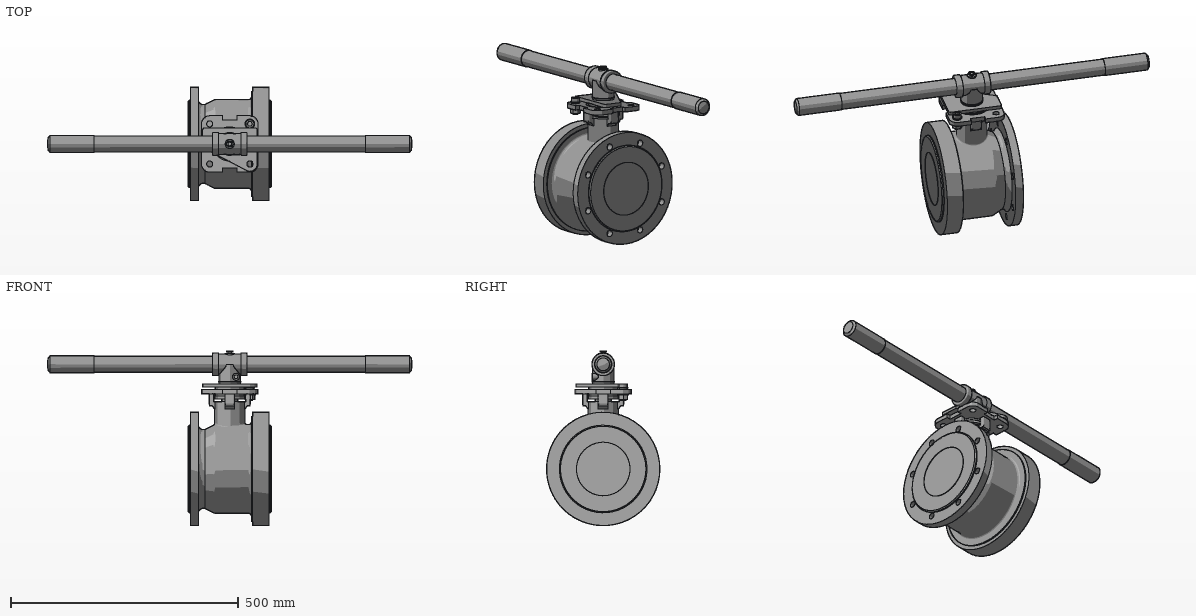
import cadquery as cq
import math

FACE_TO_FACE = 183.0
RAISED_FACE_HEIGHT = 5.0
RAISED_FACE_RADIUS = 96.5
RAISED_FACE_CHAMFER = 2.5
FLANGE_RADIUS = 125.0
PORT_DIAMETER = 118.0
PORT_RECESS = 1.0
THIN_FLANGE_BACK_X = -68.5
THICK_FLANGE_BACK_X = 50.5
STEP_BACK_X = 47.5
STEP_RADIUS = 116.0
WAIST_ROOT_RADIUS = 93.0
WAIST_RADIUS = 87.0
WAIST_MID_RADIUS = 88.8
WAIST_START_X = -60.0
WAIST_END_X = -55.0
BARREL_CORNER_X = -33.0
BARREL_CORNER_SETBACK = 2.5
BARREL_RADIUS = 98.0
BARREL_BLEND = 6.0

BOLT_COUNT = 8
BOLT_CIRCLE_RADIUS = 105.0
BOLT_HOLE_DIAMETER = 13.84

NECK_RADIUS = 33.8
NECK_TOP_Z = 148.5
NECK_BLEND = 3.5
STEM_RADIUS = 18.0
GLAND_RADIUS = 33.0
GLAND_BOTTOM_Z = 154.0
GLAND_TOP_Z = 160.5
HUB_RADIUS = 32.0

LEG_WIDTH = 22.0
LEG_OUTER_REACH = 45.5
LEG_INNER_REACH = 35.0
LEG_TAPER_TOP_Z = 143.5
LEG_TAPER = 1.2
LEG_BOTTOM_Z = 139.0
LEG_HEEL_REACH = 38.5
LEG_ROOT_Z = 132.0
LEG_EMBED_REACH = 28.0
LEG_EDGE_ROUND = 2.5

PLATE_BOTTOM_Z = 165.5
PLATE_TOP_Z = 175.5
PLATE_CORNER_RADIUS = 18.0
HOLE_OFFSET = 44.2
PLATE_HALF = HOLE_OFFSET + PLATE_CORNER_RADIUS
PLATE_HOLE_DIAMETER = 13.5
NOTCH_WIDTH = 32.0
NOTCH_DEPTH = 9.7
PLATE_RECESS_RADIUS = 37.5
PLATE_RECESS_DEPTH = 1.0

STOP_HEAD_DIAMETER = 18.0
STOP_COLLAR_DIAMETER = 21.0
STOP_COLLAR_BOTTOM_Z = 178.0
STOP_COLLAR_HEIGHT = 1.0
STOP_SOCKET_FLATS = 10.0
STOP_SOCKET_DEPTH = 6.0
WASHER_DIAMETER = 24.0
WASHER_THICKNESS = 2.5
NUT_FLATS = 19.0
NUT_HEIGHT = 10.0
STOP_SHANK_DIAMETER = 12.0
STOP_SHANK_BOTTOM_Z = 151.0

SWING_BOTTOM_Z = 180.0
SWING_TOP_Z = 187.5
SWING_HALF_LENGTH = 59.5
SWING_BACK_Y = HOLE_OFFSET - STOP_HEAD_DIAMETER / 2
SWING_NOSE_RADIUS = 16.0
SWING_CORNER_ROUND = 4.0
SWING_EDGE_SLOPE = 0.526

BAR_AXIS_Z = 230.5
BAR_RADIUS = 18.0
TEE_POST_RADIUS = 24.0
TEE_LIP_RADIUS = 25.2
TEE_LIP_Z = 191.0
TEE_LIP_HEIGHT = 1.5
TEE_TUBE_RADIUS = 22.8
TEE_COLLAR_RADIUS = 25.0
TEE_COLLAR_OUTER_X = 38.0
TEE_COLLAR_INNER_X = 24.5
TEE_COLLAR_ROUND = 1.5

GRIP_RADIUS = 19.0
GRIP_START_X = 299.0
BAR_LENGTH = 802.73
GRIP_SHOULDER_X = 395.5
GRIP_DOME_EDGE_X = 400.0
GRIP_DOME_EDGE_RADIUS = 14.0

TOP_Z = 384.58 - FLANGE_RADIUS
SCREW_BOSS_DIAMETER = 20.0
SCREW_BOSS_TOP_Z = 254.7
SCREW_STEM_DIAMETER = 8.38
SCREW_CAP_DIAMETER = 14.0
SCREW_CAP_THICKNESS = 1.5

SIDE_BOSS_DIAMETER = 15.5
SIDE_BOSS_X = 13.8
SIDE_BOSS_Z = 203.0
SIDE_BOSS_REACH = 24.3
SIDE_BOSS_SOCKET_DIAMETER = 8.38
SIDE_BOSS_SOCKET_DEPTH = 4.0


def post(radius, bottom_z, top_z, x=0.0, y=0.0):
    """Vertical cylinder between two heights."""
    base = cq.Workplane("XY").workplane(offset=bottom_z).center(x, y)
    return base.circle(radius).extrude(top_z - bottom_z)


def x_bar(radius, start_x, end_x, z=0.0):
    """Cylinder along X between two stations."""
    base = cq.Workplane("YZ", origin=(start_x, 0, z))
    return base.circle(radius).extrude(end_x - start_x)


def casting():
    end_x = FACE_TO_FACE / 2
    face_x = end_x - RAISED_FACE_HEIGHT
    face_edge_radius = RAISED_FACE_RADIUS - RAISED_FACE_CHAMFER
    waist_mid_x = (THIN_FLANGE_BACK_X + WAIST_START_X) / 2
    cone_angle = math.atan2(BARREL_RADIUS - WAIST_RADIUS, BARREL_CORNER_X - WAIST_END_X)
    cone_end_x = BARREL_CORNER_X - BARREL_CORNER_SETBACK * math.cos(cone_angle)
    cone_end_radius = BARREL_RADIUS - BARREL_CORNER_SETBACK * math.sin(cone_angle)
    barrel_start_x = BARREL_CORNER_X + BARREL_CORNER_SETBACK
    blend_offset = BARREL_BLEND * (1 - math.sqrt(0.5))
    profile = (
        cq.Workplane("XY")
        .moveTo(-end_x, 0)
        .lineTo(-end_x, face_edge_radius)
        .lineTo(RAISED_FACE_CHAMFER - end_x, RAISED_FACE_RADIUS)
        .lineTo(-face_x, RAISED_FACE_RADIUS)
        .lineTo(-face_x, FLANGE_RADIUS)
        .lineTo(THIN_FLANGE_BACK_X, FLANGE_RADIUS)
        .lineTo(THIN_FLANGE_BACK_X, WAIST_ROOT_RADIUS)
        .threePointArc((waist_mid_x, WAIST_MID_RADIUS), (WAIST_START_X, WAIST_RADIUS))
        .lineTo(WAIST_END_X, WAIST_RADIUS)
        .lineTo(cone_end_x, cone_end_radius)
        .tangentArcPoint((barrel_start_x, BARREL_RADIUS), relative=False)
        .lineTo(STEP_BACK_X - BARREL_BLEND, BARREL_RADIUS)
        .threePointArc(
            (STEP_BACK_X - blend_offset, BARREL_RADIUS + blend_offset),
            (STEP_BACK_X, BARREL_RADIUS + BARREL_BLEND),
        )
        .lineTo(STEP_BACK_X, STEP_RADIUS)
        .lineTo(THICK_FLANGE_BACK_X, STEP_RADIUS)
        .lineTo(THICK_FLANGE_BACK_X, FLANGE_RADIUS)
        .lineTo(face_x, FLANGE_RADIUS)
        .lineTo(face_x, RAISED_FACE_RADIUS)
        .lineTo(end_x - RAISED_FACE_CHAMFER, RAISED_FACE_RADIUS)
        .lineTo(end_x, face_edge_radius)
        .lineTo(end_x, 0)
        .close()
    )
    body = profile.revolve(360, (0, 0, 0), (1, 0, 0))
    for side in (-1, 1):
        port_x = side * end_x
        body = body.cut(x_bar(PORT_DIAMETER / 2, port_x - side * PORT_RECESS, port_x))
    return body


def flange_holes():
    """Bolt holes through the thin flange, straddling the vertical axis."""
    return (
        cq.Workplane("YZ", origin=(-FACE_TO_FACE / 2, 0, 0))
        .polarArray(BOLT_CIRCLE_RADIUS, 180 / BOLT_COUNT, 360, BOLT_COUNT)
        .circle(BOLT_HOLE_DIAMETER / 2)
        .extrude(THIN_FLANGE_BACK_X + FACE_TO_FACE / 2)
    )


def leg():
    """One leg on the +X side that carries the plate from the neck."""
    points = [
        (LEG_OUTER_REACH, PLATE_BOTTOM_Z),
        (LEG_OUTER_REACH, LEG_TAPER_TOP_Z),
        (LEG_OUTER_REACH - LEG_TAPER, LEG_BOTTOM_Z),
        (LEG_HEEL_REACH, LEG_BOTTOM_Z),
        (NECK_RADIUS, LEG_ROOT_Z),
        (LEG_EMBED_REACH, LEG_ROOT_Z),
        (LEG_EMBED_REACH, NECK_TOP_Z),
        (LEG_INNER_REACH, NECK_TOP_Z),
        (LEG_INNER_REACH, PLATE_BOTTOM_Z),
    ]
    blank = cq.Workplane("XZ").polyline(points).close().extrude(LEG_WIDTH / 2, both=True)
    return blank.edges("|Z and >X").fillet(LEG_EDGE_ROUND)


def mounting_plate():
    height = PLATE_TOP_Z - PLATE_BOTTOM_Z
    side = 2 * PLATE_HALF
    base = cq.Workplane("XY").workplane(offset=PLATE_BOTTOM_Z)
    plate = base.rect(side, side).extrude(height).edges("|Z").fillet(PLATE_CORNER_RADIUS)
    notch = base.center(PLATE_HALF, 0).rect(2 * NOTCH_DEPTH, NOTCH_WIDTH).extrude(height)
    for quarter in range(4):
        plate = plate.cut(notch.rotate((0, 0, 0), (0, 0, 1), 90 * quarter))
    holes = (
        base.rect(2 * HOLE_OFFSET, 2 * HOLE_OFFSET, forConstruction=True)
        .vertices()
        .circle(PLATE_HOLE_DIAMETER / 2)
        .extrude(height)
    )
    recess = post(PLATE_RECESS_RADIUS, PLATE_TOP_Z - PLATE_RECESS_DEPTH, PLATE_TOP_Z)
    return plate.cut(holes).cut(recess)


def stop_bolt():
    x = y = HOLE_OFFSET
    washer_bottom = PLATE_BOTTOM_Z - WASHER_THICKNESS
    collar_top = STOP_COLLAR_BOTTOM_Z + STOP_COLLAR_HEIGHT
    nut_bottom = washer_bottom - NUT_HEIGHT
    hexagon_ratio = 1 / math.cos(math.pi / 6)
    nut = (
        cq.Workplane("XY", origin=(x, y, nut_bottom))
        .polygon(6, NUT_FLATS * hexagon_ratio)
        .extrude(NUT_HEIGHT)
    )
    socket = (
        cq.Workplane("XY", origin=(x, y, SWING_TOP_Z - STOP_SOCKET_DEPTH))
        .polygon(6, STOP_SOCKET_FLATS * hexagon_ratio)
        .extrude(STOP_SOCKET_DEPTH)
    )
    return (
        post(STOP_HEAD_DIAMETER / 2, PLATE_BOTTOM_Z, SWING_TOP_Z, x, y)
        .union(post(STOP_COLLAR_DIAMETER / 2, STOP_COLLAR_BOTTOM_Z, collar_top, x, y))
        .cut(socket)
        .union(post(WASHER_DIAMETER / 2, washer_bottom, PLATE_BOTTOM_Z, x, y))
        .union(nut)
        .union(post(STOP_SHANK_DIAMETER / 2, STOP_SHANK_BOTTOM_Z, nut_bottom, x, y))
    )


def valve():
    body = casting().cut(flange_holes())
    body = body.union(post(NECK_RADIUS, 0, NECK_TOP_Z))
    reach = NECK_RADIUS + NECK_BLEND
    root_bottom_z = WAIST_RADIUS
    root_top_z = BARREL_RADIUS + BARREL_BLEND
    neck_root = cq.selectors.BoxSelector((-reach, -reach, root_bottom_z), (reach, reach, root_top_z))
    body = body.edges(neck_root).edges("not %CIRCLE").fillet(NECK_BLEND)
    body = body.union(post(STEM_RADIUS, NECK_TOP_Z, GLAND_BOTTOM_Z))
    body = body.union(post(GLAND_RADIUS, GLAND_BOTTOM_Z, GLAND_TOP_Z))
    body = body.union(mounting_plate())
    body = body.union(post(HUB_RADIUS, GLAND_TOP_Z, SWING_BOTTOM_Z))
    one_leg = leg()
    for quarter in range(4):
        body = body.union(one_leg.rotate((0, 0, 0), (0, 0, 1), 90 * quarter))
    return body.union(stop_bolt())


def swing_plate():
    """Plate with a straight back edge and a rounded nose over the (+X, -Y) hole."""
    nose_x = HOLE_OFFSET
    nose_y = -HOLE_OFFSET
    edge_angle = math.atan(SWING_EDGE_SLOPE)
    tangent_x = nose_x - SWING_NOSE_RADIUS * math.sin(edge_angle)
    tangent_y = nose_y - SWING_NOSE_RADIUS * math.cos(edge_angle)
    left_y = tangent_y + (tangent_x + SWING_HALF_LENGTH) * SWING_EDGE_SLOPE
    bisector = (edge_angle + math.pi / 2) / 2
    middle_x = nose_x + SWING_NOSE_RADIUS * math.sin(bisector - edge_angle)
    middle_y = nose_y - SWING_NOSE_RADIUS * math.cos(bisector - edge_angle)
    thickness = SWING_TOP_Z - SWING_BOTTOM_Z
    right_x = nose_x + SWING_NOSE_RADIUS
    plate = (
        cq.Workplane("XY")
        .workplane(offset=SWING_BOTTOM_Z)
        .moveTo(-SWING_HALF_LENGTH, SWING_BACK_Y)
        .lineTo(-SWING_HALF_LENGTH, left_y)
        .lineTo(tangent_x, tangent_y)
        .threePointArc((middle_x, middle_y), (right_x, nose_y))
        .lineTo(right_x, SWING_BACK_Y)
        .close()
        .extrude(thickness)
        .edges("|Z and >Y")
        .fillet(SWING_CORNER_ROUND)
    )
    return plate.cut(post(PLATE_HOLE_DIAMETER / 2, SWING_BOTTOM_Z, SWING_TOP_Z, nose_x, nose_y))


def tee():
    body = post(TEE_POST_RADIUS, SWING_TOP_Z, BAR_AXIS_Z)
    body = body.union(post(TEE_LIP_RADIUS, TEE_LIP_Z, TEE_LIP_Z + TEE_LIP_HEIGHT))
    body = body.union(x_bar(TEE_TUBE_RADIUS, -TEE_COLLAR_INNER_X, TEE_COLLAR_INNER_X, BAR_AXIS_Z))
    for start_x in (-TEE_COLLAR_OUTER_X, TEE_COLLAR_INNER_X):
        end_x = start_x + TEE_COLLAR_OUTER_X - TEE_COLLAR_INNER_X
        collar = x_bar(TEE_COLLAR_RADIUS, start_x, end_x, BAR_AXIS_Z)
        body = body.union(collar.edges().fillet(TEE_COLLAR_ROUND))
    return body


def bar_half():
    """The +X half of the bar with its grip and domed end."""
    end_x = BAR_LENGTH / 2
    dome_rise = end_x - GRIP_DOME_EDGE_X
    dome_radius = (GRIP_DOME_EDGE_RADIUS**2 + dome_rise**2) / (2 * dome_rise)
    dome_mid_radius = GRIP_DOME_EDGE_RADIUS / 2
    dome_mid_x = end_x - dome_radius + math.sqrt(dome_radius**2 - dome_mid_radius**2)
    return (
        cq.Workplane("XY")
        .moveTo(0, 0)
        .lineTo(0, BAR_RADIUS)
        .lineTo(GRIP_START_X, BAR_RADIUS)
        .lineTo(GRIP_START_X, GRIP_RADIUS)
        .lineTo(GRIP_SHOULDER_X, GRIP_RADIUS)
        .lineTo(GRIP_DOME_EDGE_X, GRIP_DOME_EDGE_RADIUS)
        .threePointArc((dome_mid_x, dome_mid_radius), (end_x, 0))
        .close()
        .revolve(360, (0, 0, 0), (1, 0, 0))
        .translate((0, 0, BAR_AXIS_Z))
    )


def top_screw():
    cap_bottom = TOP_Z - SCREW_CAP_THICKNESS
    boss = post(SCREW_BOSS_DIAMETER / 2, BAR_AXIS_Z, SCREW_BOSS_TOP_Z)
    stem = post(SCREW_STEM_DIAMETER / 2, SCREW_BOSS_TOP_Z, cap_bottom)
    return boss.union(stem).union(post(SCREW_CAP_DIAMETER / 2, cap_bottom, TOP_Z))


def side_cylinder(diameter, length):
    """Cylinder along Y, running back from the end face of the side boss."""
    end_face = cq.Workplane("XZ", origin=(SIDE_BOSS_X, -SIDE_BOSS_REACH, SIDE_BOSS_Z))
    return end_face.circle(diameter / 2).extrude(-length)


def lever():
    half = bar_half()
    body = swing_plate().union(tee()).union(half).union(half.mirror("YZ"))
    body = body.union(top_screw())
    body = body.union(side_cylinder(SIDE_BOSS_DIAMETER, SIDE_BOSS_REACH))
    return body.cut(side_cylinder(SIDE_BOSS_SOCKET_DIAMETER, SIDE_BOSS_SOCKET_DEPTH))


result = cq.Compound.makeCompound([valve().val(), lever().val()])